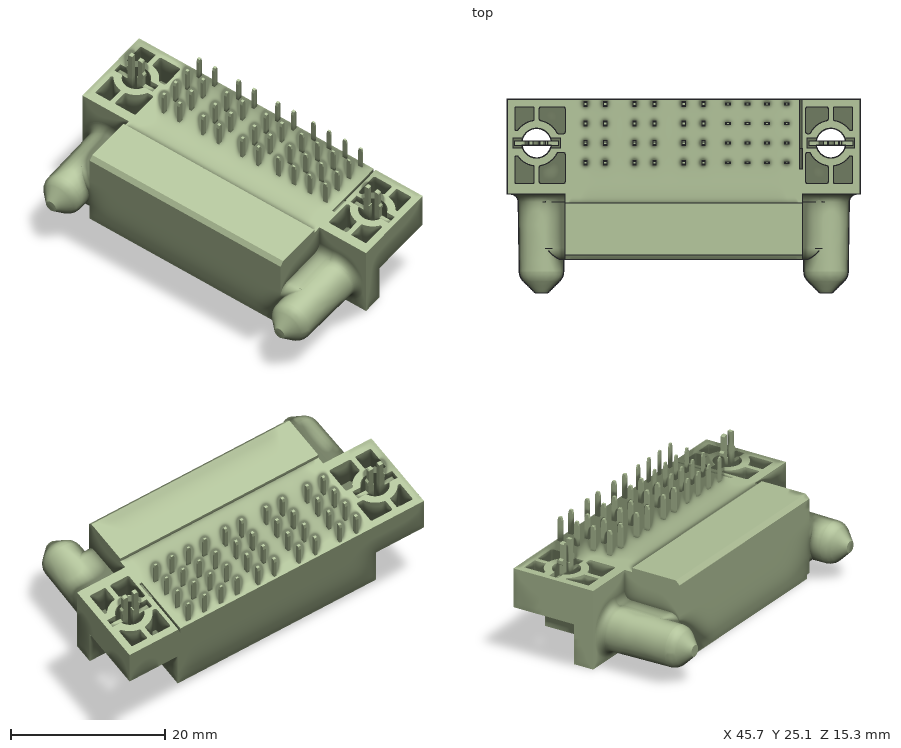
import cadquery as cq
import math


EMBED = 0.5
CLEAR = 1.0

FLANGE_WIDTH = 45.72
FLANGE_DEPTH = 12.32
FLANGE_HEIGHT = 11.31
PLUG_HALF_WIDTH = 15.38
PLUG_FRONT = -20.8
RIDGE_REAR = -13.46
RIDGE_HEIGHT = 11.89
RIDGE_CHAMFER = RIDGE_HEIGHT - FLANGE_HEIGHT
EAR_UNDERSIDE = 5.73
EAR_RELIEF_DEPTH = 9.34

GUIDE_X = 18.415
GUIDE_Z = 4.29
GUIDE_ROOT_RADIUS = 3.03
GUIDE_END_RADIUS = 2.89
GUIDE_TAPER_END = -22.35
GUIDE_TIP = -25.13
GUIDE_TIP_RADIUS = 0.8
GUIDE_CONE_HALF_ANGLE = math.radians(45)
GUIDE_CONE_START = -23.64
GUIDE_FILLET = 1.0

WEB_BLEND_OFFSET = 1.34
WEB_BLEND_RADIUS = 4.5
WEB_FRONT_RADIUS = 1.45

GRID = 2.54
HOLE_X = 7.5 * GRID
HOLE_Y = -2.25 * GRID
HOLE_DIAMETER = 3.81
SLOT_LENGTH = 6.16
SLOT_WIDTH = 1.32
SLOT_FLOOR = 7.5
POCKET_WALL = 1.02
POCKET_FRONT_WALL = 1.37
POCKET_RIB = 0.68
POCKET_INNER_X_LEFT = 15.34
POCKET_INNER_X_RIGHT = 15.78
POCKET_RING_RADIUS = 2.95
POCKET_DEPTH = 4.5
POCKET_INNER_GAP = 1.21
POCKET_OUTER_GAP = 1.65
POCKET_INNER_ROUND = 0.25
POCKET_OUTER_ROUND = 0.14

LOCK_TOP = 15.32
LOCK_THICKNESS = 0.6
LOCK_HALF_WIDTH = 2.85
LOCK_SHOULDER = 10.7
LOCK_GAP = 0.47
LOCK_STEP = 0.14
LOCK_STEP_HEIGHT = 12.0
LOCK_NECK = 1.24
LOCK_BARB = 1.39
LOCK_NECK_TOP = 12.25
LOCK_BARB_BOTTOM = 12.4
LOCK_BARB_MIDDLE = 12.9
LOCK_BARB_TOP = 13.15
LOCK_PRONG = 1.13
LOCK_CHAMFER = 0.15
LOCK_SLIT_FLOOR = 8.5

TERMINAL_TOP = 14.79
TERMINAL_WIDTH = 0.64
POWER_THICKNESS = 0.4
SIGNAL_THICKNESS = 0.25
TERMINAL_TAPER = 0.14
TERMINAL_TAPER_HEIGHT = 0.5
TERMINAL_ROWS = [-(0.25 + row) * GRID for row in range(4)]
POWER_COLUMNS = [-5 * GRID, -4 * GRID, -2.5 * GRID, -1.5 * GRID, 0, GRID]
SIGNAL_COLUMNS = [(2.25 + column) * GRID for column in range(4)]

GROOVE_LEFT = 14.97
GROOVE_RIGHT = 15.28
GROOVE_END = -6.44
GROOVE_DEPTH = 1.0
RECESS_FLOOR_RIGHT = 15.2
RECESS_END = -9.05
RECESS_DEPTH = 0.4
CORNER_NOTCH_WIDTH = 0.55
CORNER_NOTCH_SIZE = 0.65


def box(x_range, y_range, z_range):
    """Box between the given limits."""
    size = [high - low for low, high in (x_range, y_range, z_range)]
    corner = (x_range[0], y_range[0], z_range[0])
    return cq.Workplane("XY").box(*size, centered=False).translate(corner)


def both_sides(shape):
    """The shape together with its mirror image across X = 0."""
    return shape.union(shape.mirror("YZ"))


def make_housing():
    """Flange with the central plug and its ridge, relieved under both ears at the rear."""
    half_width = FLANGE_WIDTH / 2
    flange = box((-half_width, half_width), (-FLANGE_DEPTH, 0), (0, FLANGE_HEIGHT))
    plug = (
        cq.Workplane("YZ")
        .moveTo(-EMBED, 0)
        .lineTo(PLUG_FRONT, 0)
        .lineTo(PLUG_FRONT, FLANGE_HEIGHT)
        .lineTo(PLUG_FRONT + RIDGE_CHAMFER, RIDGE_HEIGHT)
        .lineTo(RIDGE_REAR, RIDGE_HEIGHT)
        .lineTo(RIDGE_REAR, FLANGE_HEIGHT)
        .lineTo(-EMBED, FLANGE_HEIGHT)
        .close()
        .extrude(PLUG_HALF_WIDTH, both=True)
    )
    relief = box(
        (PLUG_HALF_WIDTH, half_width + CLEAR),
        (-EAR_RELIEF_DEPTH, CLEAR),
        (-CLEAR, EAR_UNDERSIDE),
    )
    return flange.union(plug).cut(both_sides(relief))


def make_guide_pin():
    """Guide pin of the +X side: flared root, tapered shank, rounded shoulder and conical tip."""
    flare_radius = GUIDE_ROOT_RADIUS + GUIDE_FILLET
    cone_radius = GUIDE_TIP_RADIUS + (GUIDE_CONE_START - GUIDE_TIP) * math.tan(GUIDE_CONE_HALF_ANGLE)
    profile = (
        cq.Workplane("XY")
        .moveTo(0, -FLANGE_DEPTH + EMBED)
        .lineTo(flare_radius, -FLANGE_DEPTH + EMBED)
        .lineTo(flare_radius, -FLANGE_DEPTH)
        .radiusArc((GUIDE_ROOT_RADIUS, -FLANGE_DEPTH - GUIDE_FILLET), -GUIDE_FILLET)
        .lineTo(GUIDE_END_RADIUS, GUIDE_TAPER_END)
        .tangentArcPoint((cone_radius, GUIDE_CONE_START), relative=False)
        .lineTo(GUIDE_TIP_RADIUS, GUIDE_TIP)
        .lineTo(0, GUIDE_TIP)
        .close()
    )
    pin = profile.revolve(360, (0, 0, 0), (0, 1, 0))
    return pin.translate((GUIDE_X, 0, GUIDE_Z))


def guide_radius(y):
    """Radius of the tapered guide pin shank at a given Y."""
    taper_start = -FLANGE_DEPTH - GUIDE_FILLET
    slope = (GUIDE_ROOT_RADIUS - GUIDE_END_RADIUS) / (taper_start - GUIDE_TAPER_END)
    return GUIDE_END_RADIUS + slope * (y - GUIDE_TAPER_END)


def web_half_height(y):
    """Height of the web flat above the guide axis that makes its blend tangent to the shank."""
    blend_reach = guide_radius(y) + WEB_BLEND_RADIUS
    return math.sqrt(blend_reach**2 - WEB_BLEND_OFFSET**2) - WEB_BLEND_RADIUS


def web_section(y):
    """Upper half of the web section at a given Y, from inside the plug to the guide axis."""
    pin_radius = guide_radius(y)
    half_height = web_half_height(y)
    blend_angle = math.acos(WEB_BLEND_OFFSET / (pin_radius + WEB_BLEND_RADIUS))
    blend_end_x = GUIDE_X - pin_radius * math.cos(blend_angle)
    blend_end_z = pin_radius * math.sin(blend_angle)
    inner_end = PLUG_HALF_WIDTH - EMBED
    section = (
        cq.Workplane("XZ", origin=(0, y, GUIDE_Z))
        .moveTo(inner_end, 0)
        .lineTo(inner_end, half_height)
        .lineTo(GUIDE_X - WEB_BLEND_OFFSET, half_height)
        .tangentArcPoint((blend_end_x, blend_end_z), relative=False)
        .lineTo(GUIDE_X, 0)
        .close()
    )
    return section.wires().val()


def make_web():
    """Web of the +X side: flat top and bottom running into the guide pin by concave blends."""
    rear = -FLANGE_DEPTH + EMBED
    half_solid = cq.Solid.makeLoft([web_section(rear), web_section(PLUG_FRONT)], True)
    round_start = PLUG_FRONT + WEB_FRONT_RADIUS
    flat_height = web_half_height(round_start)
    front_rounding = (
        cq.Workplane("YZ", origin=(PLUG_HALF_WIDTH - CLEAR, 0, GUIDE_Z))
        .moveTo(PLUG_FRONT, flat_height - WEB_FRONT_RADIUS)
        .radiusArc((round_start, flat_height), WEB_FRONT_RADIUS)
        .lineTo(round_start, flat_height + CLEAR)
        .lineTo(PLUG_FRONT - CLEAR, flat_height + CLEAR)
        .lineTo(PLUG_FRONT - CLEAR, flat_height - WEB_FRONT_RADIUS)
        .close()
        .extrude(GUIDE_X - PLUG_HALF_WIDTH + 2 * CLEAR)
    )
    upper_half = cq.Workplane("XY").newObject([half_solid]).cut(front_rounding)
    return upper_half.union(upper_half.mirror("XY", (0, 0, GUIDE_Z)))


def make_web_flare():
    """Concave flares at the root of the +X web, above and below it."""
    web_height = web_half_height(-FLANGE_DEPTH - GUIDE_FILLET)
    foot_height = web_height + GUIDE_FILLET
    inner_end = PLUG_HALF_WIDTH - EMBED
    upper_half = (
        cq.Workplane("YZ", origin=(inner_end, 0, GUIDE_Z))
        .moveTo(-FLANGE_DEPTH + EMBED, 0)
        .lineTo(-FLANGE_DEPTH + EMBED, foot_height)
        .lineTo(-FLANGE_DEPTH, foot_height)
        .radiusArc((-FLANGE_DEPTH - GUIDE_FILLET, web_height), GUIDE_FILLET)
        .lineTo(-FLANGE_DEPTH - GUIDE_FILLET, 0)
        .close()
        .extrude(GUIDE_X - inner_end)
    )
    return upper_half.union(upper_half.mirror("XY", (0, 0, GUIDE_Z)))


def make_guide():
    """Guide pin of the +X side with its web."""
    return make_guide_pin().union(make_web()).union(make_web_flare())


def make_pocket(x_range, y_range, corner_radius):
    """Rounded pocket cutter that stays clear of the ring around the screw hole of the +X ear."""
    depths = (FLANGE_HEIGHT - POCKET_DEPTH, FLANGE_HEIGHT + CLEAR)
    ring = cq.Workplane("XY").center(HOLE_X, HOLE_Y).circle(POCKET_RING_RADIUS).extrude(depths[1])
    return box(x_range, y_range, depths).cut(ring).edges("|Z").fillet(corner_radius)


def make_ear_cuts(pocket_inner_x):
    """Screw hole, board lock slot and pockets of an ear, placed on the +X side."""
    hole = (
        cq.Workplane("XY", origin=(HOLE_X, HOLE_Y, 0))
        .circle(HOLE_DIAMETER / 2)
        .extrude(FLANGE_HEIGHT + CLEAR)
    )
    slot = (
        cq.Workplane("XY", origin=(HOLE_X, HOLE_Y, SLOT_FLOOR))
        .rect(SLOT_LENGTH, SLOT_WIDTH)
        .extrude(FLANGE_HEIGHT + CLEAR - SLOT_FLOOR)
    )
    cuts = hole.union(slot)
    inner_x = (pocket_inner_x, HOLE_X - POCKET_RIB / 2)
    outer_x = (HOLE_X + POCKET_RIB / 2, FLANGE_WIDTH / 2 - POCKET_WALL)
    for x_range, gap, corner_radius in (
        (inner_x, POCKET_INNER_GAP, POCKET_INNER_ROUND),
        (outer_x, POCKET_OUTER_GAP, POCKET_OUTER_ROUND),
    ):
        rear_y = (HOLE_Y + gap, -POCKET_WALL)
        front_y = (-FLANGE_DEPTH + POCKET_FRONT_WALL, HOLE_Y - gap)
        for y_range in (rear_y, front_y):
            cuts = cuts.union(make_pocket(x_range, y_range, corner_radius))
    return cuts


def make_board_lock():
    """Forked board lock of the +X ear, with outward barbs and a slit between its prongs."""
    half_outline = [
        (0, SLOT_FLOOR - EMBED),
        (LOCK_HALF_WIDTH, SLOT_FLOOR - EMBED),
        (LOCK_HALF_WIDTH, LOCK_SHOULDER),
        (LOCK_NECK, LOCK_SHOULDER),
        (LOCK_NECK, LOCK_NECK_TOP),
        (LOCK_BARB, LOCK_BARB_BOTTOM),
        (LOCK_BARB, LOCK_BARB_MIDDLE),
        (LOCK_PRONG, LOCK_BARB_TOP),
        (LOCK_PRONG, LOCK_TOP - LOCK_CHAMFER),
        (LOCK_PRONG - LOCK_CHAMFER, LOCK_TOP),
        (0, LOCK_TOP),
    ]
    half = (
        cq.Workplane("XZ", origin=(HOLE_X, HOLE_Y, 0))
        .polyline(half_outline)
        .close()
        .extrude(LOCK_THICKNESS / 2, both=True)
    )
    blade = half.union(half.mirror("YZ", (HOLE_X, 0, 0)))
    slit = (
        cq.Workplane("XZ", origin=(HOLE_X, HOLE_Y, 0))
        .moveTo(LOCK_GAP, LOCK_TOP + CLEAR)
        .lineTo(-LOCK_GAP, LOCK_TOP + CLEAR)
        .lineTo(-LOCK_GAP, LOCK_STEP_HEIGHT)
        .lineTo(LOCK_STEP - LOCK_GAP, LOCK_STEP_HEIGHT)
        .lineTo(LOCK_STEP - LOCK_GAP, LOCK_SLIT_FLOOR)
        .threePointArc((LOCK_STEP / 2, LOCK_SLIT_FLOOR - LOCK_GAP), (LOCK_GAP, LOCK_SLIT_FLOOR))
        .close()
        .extrude(LOCK_THICKNESS, both=True)
    )
    return blade.cut(slit)


def make_terminal(size_x, size_y):
    """Straight terminal on the Z axis whose wider sides taper near the tip."""
    bottom = FLANGE_HEIGHT - EMBED
    shoulder = TERMINAL_TOP - TERMINAL_TAPER_HEIGHT
    tip_x = size_x - 2 * TERMINAL_TAPER if size_x > size_y else size_x
    tip_y = size_y - 2 * TERMINAL_TAPER if size_y > size_x else size_y
    shank = cq.Workplane("XY", origin=(0, 0, bottom)).rect(size_x, size_y).extrude(shoulder - bottom)
    return (
        shank.faces(">Z")
        .workplane()
        .rect(size_x, size_y)
        .workplane(offset=TERMINAL_TAPER_HEIGHT)
        .rect(tip_x, tip_y)
        .loft(combine=True)
    )


def add_terminals(body):
    """Power terminals lie along Y and signal terminals along X, on a common set of rows."""
    power = make_terminal(POWER_THICKNESS, TERMINAL_WIDTH)
    signal = make_terminal(TERMINAL_WIDTH, SIGNAL_THICKNESS)
    terminals = []
    for columns, terminal in ((POWER_COLUMNS, power), (SIGNAL_COLUMNS, signal)):
        for x in columns:
            for y in TERMINAL_ROWS:
                terminals.append(terminal.val().translate(cq.Vector(x, y, 0)))
    return body.union(cq.Workplane("XY").newObject([cq.Compound.makeCompound(terminals)]))


def make_groove():
    """Sloped groove running from the rear wall along the top of the housing."""
    return (
        cq.Workplane("XZ", origin=(0, CLEAR, 0))
        .moveTo(GROOVE_LEFT, FLANGE_HEIGHT)
        .lineTo(GROOVE_RIGHT, FLANGE_HEIGHT)
        .lineTo(GROOVE_LEFT, FLANGE_HEIGHT - GROOVE_DEPTH)
        .close()
        .extrude(CLEAR - GROOVE_END)
    )


def make_recess():
    """Shallow recess with a sloped outer wall, continuing the groove toward the plug."""
    return (
        cq.Workplane("XZ", origin=(0, GROOVE_END, 0))
        .moveTo(GROOVE_LEFT, FLANGE_HEIGHT)
        .lineTo(PLUG_HALF_WIDTH, FLANGE_HEIGHT)
        .lineTo(RECESS_FLOOR_RIGHT, FLANGE_HEIGHT - RECESS_DEPTH)
        .lineTo(GROOVE_LEFT, FLANGE_HEIGHT - RECESS_DEPTH)
        .close()
        .extrude(GROOVE_END - RECESS_END)
    )


def make_corner_notch():
    """Sloped notch in the lower front corner of the plug."""
    return (
        cq.Workplane("YZ", origin=(PLUG_HALF_WIDTH - CORNER_NOTCH_WIDTH, 0, 0))
        .moveTo(PLUG_FRONT, 0)
        .lineTo(PLUG_FRONT, CORNER_NOTCH_SIZE)
        .lineTo(PLUG_FRONT + CORNER_NOTCH_SIZE, 0)
        .close()
        .extrude(CORNER_NOTCH_WIDTH)
    )


result = make_housing().union(both_sides(make_guide()))
result = result.cut(make_ear_cuts(POCKET_INNER_X_RIGHT))
result = result.cut(make_ear_cuts(POCKET_INNER_X_LEFT).mirror("YZ"))
result = result.cut(make_groove()).cut(make_recess()).cut(make_corner_notch())
result = result.union(both_sides(make_board_lock()))
result = add_terminals(result)